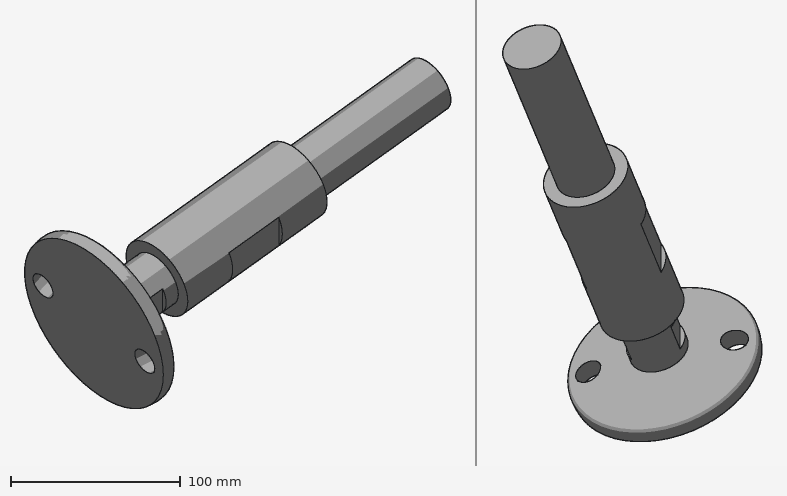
import cadquery as cq
import math


foot_radius = 118 / 2
underside_radius = 58.4
taper_height = 4.5
rim_height = 9.5
rim_fillet = 3.0
cone_top = 17.0

rod_radius = 36 / 2
rod_end = 277.0
rod_flats_width = 30.0
rod_flats_start = 23.5
rod_flats_end = 42.0

sleeve_radius = 52 / 2
sleeve_start = 52.0
sleeve_length = 115.0
sleeve_end = sleeve_start + sleeve_length
sleeve_flats_width = 46.0
sleeve_flats_length = 41.0
sleeve_flats_start = sleeve_start + (sleeve_length - sleeve_flats_length) / 2
sleeve_flats_end = sleeve_flats_start + sleeve_flats_length

hole_diameter = 16.5
hole_offset = 42.8
cone_angle = math.atan2(cone_top - rim_height, foot_radius - rod_radius)
hole_reach = 2 * cone_top

fillet_setback = rim_fillet * math.tan((math.pi / 2 - cone_angle) / 2)
fillet_start_height = rim_height - fillet_setback
fillet_centre_radius = foot_radius - rim_fillet
fillet_end_radius = fillet_centre_radius + rim_fillet * math.sin(cone_angle)
fillet_end_height = fillet_start_height + rim_fillet * math.cos(cone_angle)
fillet_middle_angle = (math.pi / 2 - cone_angle) / 2
fillet_middle_radius = fillet_centre_radius + rim_fillet * math.cos(fillet_middle_angle)
fillet_middle_height = fillet_start_height + rim_fillet * math.sin(fillet_middle_angle)


def cylinder(radius, start, end):
    """Cylinder around the Y axis from start to end."""
    return cq.Workplane("XZ", origin=(0, start, 0)).circle(radius).extrude(start - end)


def cut_flats(body, radius, width, start, end):
    """Cut two wrench flats, facing -X and +X, into a round of the given radius."""
    depth = radius - width / 2
    centre_x = width / 2 + depth / 2
    centre_y = (start + end) / 2
    for side in (-1, 1):
        cutter = cq.Workplane("XY").box(depth, end - start, 2 * radius)
        body = body.cut(cutter.translate((side * centre_x, centre_y, 0)))
    return body


def drill_fixing_holes(body):
    """Drill two through holes that lean outwards towards +Y."""
    for side in (-1, 1):
        direction = cq.Vector(side * math.sin(cone_angle), math.cos(cone_angle), 0)
        start = cq.Vector(side * hole_offset, 0, 0) - direction * hole_reach
        drill = cq.Solid.makeCylinder(hole_diameter / 2, 2 * hole_reach, start, direction)
        body = body.cut(cq.Workplane(drill))
    return body


def make_foot():
    """Plate with tapered edge, rounded rim and conical top, carrying the rod with its flats."""
    plate = (
        cq.Workplane("XY")
        .lineTo(underside_radius, 0)
        .lineTo(foot_radius, taper_height)
        .lineTo(foot_radius, fillet_start_height)
        .threePointArc(
            (fillet_middle_radius, fillet_middle_height),
            (fillet_end_radius, fillet_end_height),
        )
        .lineTo(rod_radius, cone_top)
        .lineTo(0, cone_top)
        .close()
        .revolve(360, (0, 0, 0), (0, 1, 0))
    )
    rod = cylinder(rod_radius, cone_top, rod_end)
    rod = cut_flats(rod, rod_radius, rod_flats_width, rod_flats_start, rod_flats_end)
    return drill_fixing_holes(plate).union(rod)


def make_sleeve():
    """Tube that fits the rod, with a pair of wrench flats halfway along it."""
    tube = cylinder(sleeve_radius, sleeve_start, sleeve_end)
    tube = tube.cut(cylinder(rod_radius, sleeve_start, sleeve_end))
    return cut_flats(tube, sleeve_radius, sleeve_flats_width, sleeve_flats_start, sleeve_flats_end)


foot = make_foot()
sleeve = make_sleeve()

result = cq.Compound.makeCompound([foot.val(), sleeve.val()])